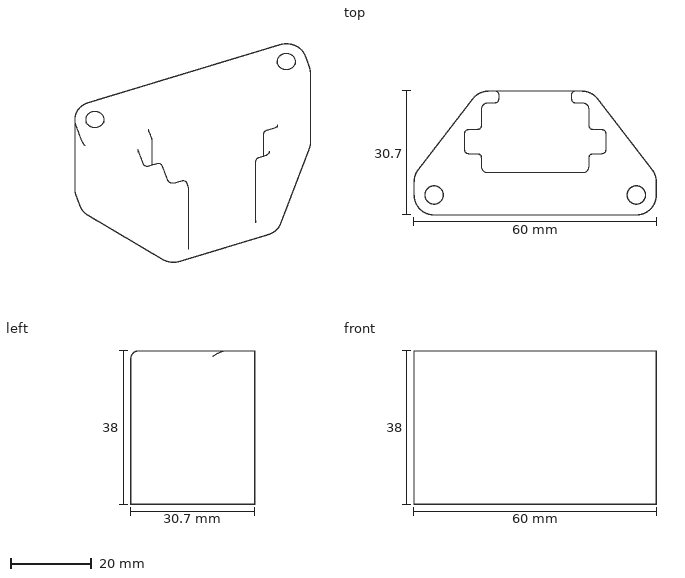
import cadquery as cq

width = 60.0
depth = 30.7
height = 38.0
shoulder_y = 9.9
back_half_width = 14.0
corner_radius = 5.0
top_edge_radius = 2.0

hole_diameter = 4.5
hole_x = width / 2 - corner_radius
hole_y = corner_radius

floor_thickness = 3.0
pocket_front_y = 10.5
pocket_half_width = 13.25
notch_half_width = 17.5
notch_front_y = 15.2
notch_back_y = 21.2
lip_thickness = 3.0
opening_half_width = 9.0
pocket_corner_radius = 1.45
notch_corner_radius = 1.0
edge_radius = 0.95
cutter_overrun = 6.0

position_tolerance = 0.05


def symmetric_outline(right_side):
    """Closed outline from its right-hand points, mirrored in the YZ plane."""
    left_side = [(-x, y) for x, y in reversed(right_side)]
    return cq.Workplane("XY").polyline(right_side + left_side).close()


def vertical_edges_at(solid, points):
    """Vertical edges of a solid that stand on the given points or their mirror images."""
    def is_wanted(edge):
        center = edge.Center()
        return any(
            abs(abs(center.x) - x) < position_tolerance and abs(center.y - y) < position_tolerance
            for x, y in points
        )

    return solid.edges("|Z").filter(is_wanted)


def make_block():
    front_corner = (width / 2, 0)
    shoulder = (width / 2, shoulder_y)
    back_corner = (back_half_width, depth)

    prism = symmetric_outline([front_corner, shoulder, back_corner]).extrude(height)
    block = vertical_edges_at(prism, [back_corner]).fillet(corner_radius)
    block = block.faces(">Y").edges(">Z").fillet(top_edge_radius)
    rounded_front = vertical_edges_at(prism, [front_corner, shoulder]).fillet(corner_radius)
    return block.intersect(rounded_front)


def make_pocket_tool():
    lip_y = depth - lip_thickness
    pocket_corners = [(pocket_half_width, pocket_front_y), (pocket_half_width, lip_y)]
    notch_corners = [
        (pocket_half_width, notch_front_y),
        (notch_half_width, notch_front_y),
        (notch_half_width, notch_back_y),
        (pocket_half_width, notch_back_y),
    ]
    lip_corner = (opening_half_width, lip_y)
    opening_end = (opening_half_width, depth + cutter_overrun)

    outline = [pocket_corners[0], *notch_corners, pocket_corners[1], lip_corner, opening_end]
    tool = symmetric_outline(outline).extrude(height - floor_thickness + cutter_overrun)
    tool = vertical_edges_at(tool, pocket_corners).fillet(pocket_corner_radius)
    tool = vertical_edges_at(tool, notch_corners + [lip_corner]).fillet(notch_corner_radius)
    tool = tool.faces("<Y").edges("<Z").fillet(edge_radius)
    return tool.translate((0, 0, floor_thickness))


def round_rim(body):
    """Round the whole rim: over the top, down the ends of the lips and along the floor."""
    front_rim = cq.selectors.NearestToPointSelector((0, pocket_front_y, height))
    return body.edges(front_rim).fillet(edge_radius)


def drill_screw_holes(body):
    holes = (
        cq.Workplane("XY")
        .pushPoints([(-hole_x, hole_y), (hole_x, hole_y)])
        .circle(hole_diameter / 2)
        .extrude(height)
    )
    return body.cut(holes)


body = make_block().cut(make_pocket_tool())
body = round_rim(body)
result = drill_screw_holes(body)